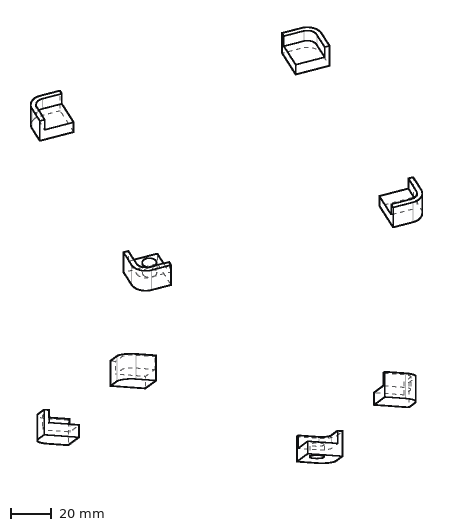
import cadquery as cq

span_x = 144.8
span_y = 153.4
height = 12.7

side = 18.0
wall = 2.6
outer_radius = 7.5
inner_radius = outer_radius - wall
floor_height = 6.3

hole_diameter = 7.0
hole_inset_x = 5.0
hole_inset_y = 6.3


def rounded_block(size, block_height, radius):
    """Square block with its outward corner at the origin, rounded, reaching into +X and +Y."""
    block = cq.Workplane("XY").box(size, size, block_height, centered=False)
    return block.edges("|Z and <X and <Y").fillet(radius)


def corner_piece():
    """Floor with an L-shaped wall along its two outward sides."""
    pocket_size = side - wall
    pocket_height = height - floor_height
    pocket = rounded_block(pocket_size, pocket_height, inner_radius)
    pocket = pocket.translate((wall, wall, floor_height))
    return rounded_block(side, height, outer_radius).cut(pocket)


def floor_hole():
    """Cylinder that cuts the hole in the +X, -Y corner piece."""
    center_x = span_x / 2 - side + hole_inset_x
    center_y = -span_y / 2 + side - hole_inset_y
    return cq.Workplane("XY").center(center_x, center_y).circle(hole_diameter / 2).extrude(height)


corners = []
for sign_x in (-1, 1):
    for sign_y in (-1, 1):
        corner = corner_piece()
        if sign_x > 0:
            corner = corner.mirror("YZ")
        if sign_y > 0:
            corner = corner.mirror("XZ")
        corner = corner.translate((sign_x * span_x / 2, sign_y * span_y / 2, 0))
        if sign_x > 0 and sign_y < 0:
            corner = corner.cut(floor_hole())
        corners.append(corner)

result = cq.Compound.makeCompound([corner.val() for corner in corners])